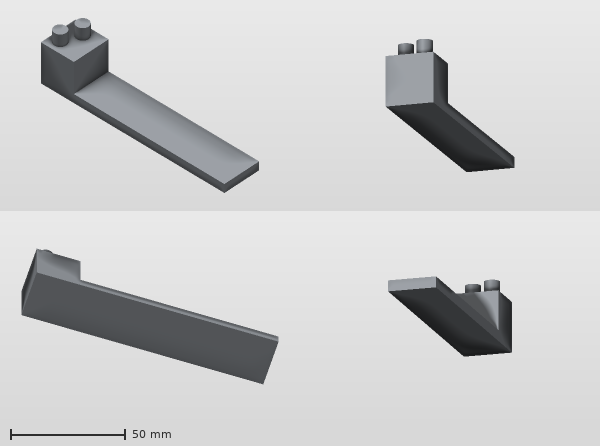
import cadquery as cq

total_length = 111.0
width = 22.0
total_height = 30.0

block_length = 20.0
peg_height = 7.0
block_height = total_height - peg_height
peg_diameter = 7.1
edge_to_peg = 6.0
front_peg = (edge_to_peg, edge_to_peg)
back_peg = (block_length / 2, width - edge_to_peg)

plate_length = total_length - block_length
plate_thickness = 5.0


def make_block():
    """Block with its corner at the origin and two pegs standing on top."""
    block = cq.Workplane("XY").box(block_length, width, block_height, centered=False)
    pegs = (
        cq.Workplane("XY")
        .workplane(offset=block_height)
        .pushPoints([front_peg, back_peg])
        .circle(peg_diameter / 2)
        .extrude(peg_height)
    )
    return block.union(pegs)


def make_plate():
    """Plate that starts at the +X face of the block, level with its bottom."""
    plate = cq.Workplane("XY").box(plate_length, width, plate_thickness, centered=False)
    return plate.translate((block_length, 0, 0))


block = make_block()
plate = make_plate()

result = cq.Compound.makeCompound([block.solids().val(), plate.val()])